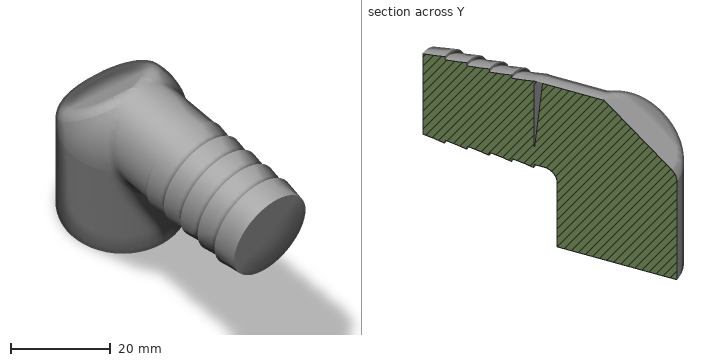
import cadquery as cq
import math

socket_radius = 13.5
dome_center_z = 25.4

part_height = 38.5
arm_radius = 10.1
arm_axis_z = part_height - arm_radius

barb_count = 5
barb_pitch = 5.0
barb_start_x = 18.5
barb_large_radius = 10.5
barb_small_radius = 9.75
barb_axis_z = part_height - barb_large_radius

flat_angle = 39.0
flat_top_x = 2.9

flat_edge_radius = 3.0
junction_radius = 2.7

tip_length = 2.1
tip_half_width = 3.7
tip_depth = 1.25
tip_side_taper = 58.0


def along_x(x, z):
    """Workplane facing +X with its origin on the XZ plane."""
    return cq.Workplane("YZ", origin=(x, 0, z))


def flat_normal():
    """Outward direction of the sloping flat."""
    slope = math.radians(flat_angle)
    return cq.Vector(-math.sin(slope), 0, math.cos(slope))


def make_corner_cutter():
    """Block lying above the sloping flat."""
    block_size = 4 * socket_radius
    block = cq.Workplane("XY").box(block_size, block_size, block_size, centered=(True, True, False))
    tilted = block.rotate((0, 0, 0), (0, 1, 0), -flat_angle)
    return tilted.translate((flat_top_x, 0, part_height))


def make_arm():
    """Smooth round arm, reaching back to the middle of the dome."""
    return along_x(0, arm_axis_z).circle(arm_radius).extrude(barb_start_x)


def make_elbow():
    """Domed upright socket with the smooth arm, blended where they meet."""
    cylinder = cq.Workplane("XY").circle(socket_radius).extrude(dome_center_z)
    dome = cq.Workplane("XY", origin=(0, 0, dome_center_z)).sphere(socket_radius)
    elbow = cylinder.union(dome).union(make_arm())
    return elbow.edges("%BSPLINE").fillet(junction_radius)


def cut_corner_flat(elbow):
    """Cut the sloping flat and round its rim."""
    trimmed = elbow.cut(make_corner_cutter())
    flat_face = trimmed.faces(cq.selectors.DirectionMinMaxSelector(flat_normal()))
    return flat_face.edges("%CIRCLE").fillet(flat_edge_radius)


def make_flat_tip():
    """Pointed end of the flat, with sides sloping down onto the arm and kept inside it."""
    uphill = cq.Vector(0, 1, 0).cross(flat_normal())
    tip_plane = cq.Plane(origin=(flat_top_x, 0, part_height), xDir=uphill, normal=-flat_normal())
    tip_outline = [
        (0, 0),
        (-tip_length, tip_half_width),
        (-2 * tip_length, tip_half_width),
        (-2 * tip_length, -tip_half_width),
        (-tip_length, -tip_half_width),
    ]
    tip = cq.Workplane(tip_plane).polyline(tip_outline).close().extrude(tip_depth, taper=-tip_side_taper)
    return tip.intersect(make_arm())


def make_barb(start_x):
    """One barb, tapering towards the open end of the arm."""
    large_end = along_x(start_x, barb_axis_z).circle(barb_large_radius)
    return large_end.workplane(offset=barb_pitch).circle(barb_small_radius).loft(ruled=True)


result = cut_corner_flat(make_elbow()).union(make_flat_tip())
for barb_index in range(barb_count):
    result = result.union(make_barb(barb_start_x + barb_index * barb_pitch))